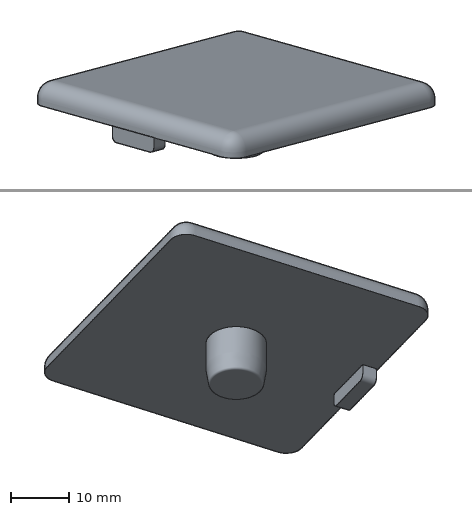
import cadquery as cq

plate_side = 50.0
plate_thickness = 4.0
edge_radius = 3.0

peg_length = 8.5
peg_radius = 5.2
straight_length = 5.35
tip_radius = 4.7
tip_rounding = 0.4

tab_width = 10.2
tab_depth = 2.7
tab_height = 2.9
tab_inset = 0.3
tab_corner_radius = 1.0


def make_plate():
    """Plate standing on Z = 0, rounded at its corners and upper edges."""
    block = cq.Workplane("XY").box(plate_side, plate_side, plate_thickness, centered=(True, True, False))
    return block.edges("|Z or >Z").fillet(edge_radius)


def make_peg():
    """Round peg with a tapered end and a rounded tip."""
    profile = (
        cq.Workplane("XZ")
        .lineTo(peg_radius, 0)
        .lineTo(peg_radius, -straight_length)
        .lineTo(tip_radius, -peg_length)
        .lineTo(0, -peg_length)
        .close()
    )
    return profile.revolve(360, (0, 0, 0), (0, 1, 0)).faces("<Z").edges().fillet(tip_rounding)


def make_tab():
    """Tab with rounded lower corners, set in slightly from the front edge."""
    center_y = -plate_side / 2 + tab_inset + tab_depth / 2
    block = (
        cq.Workplane("XY")
        .box(tab_width, tab_depth, tab_height, centered=(True, True, False))
        .translate((0, center_y, -tab_height))
    )
    return block.edges("|Y and <Z").fillet(tab_corner_radius)


result = make_plate().union(make_peg()).union(make_tab())